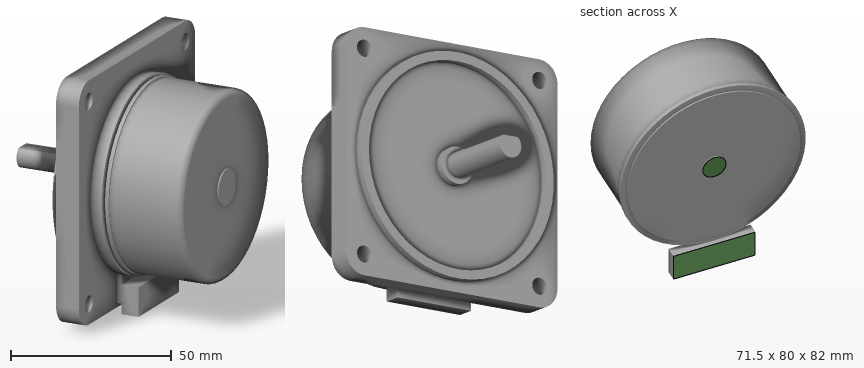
import cadquery as cq


overall_height = 82.0

flange_side = 80.0
flange_thickness = 7.95
corner_radius = 7.0
screw_spacing = 66.4
screw_hole_diameter = 5.5
pilot_radius = 36.5
pilot_height = 3.0
recess_radius = 33.5
recess_depth = 3.0
bearing_seat_radius = 6.0
rear_boss_radius = 32.1
rear_boss_length = 4.0

air_gap = 0.3
neck_radius = 29.4
neck_length = 0.5
rim_radius = 31.5
rim_length = 1.2
can_radius = 30.9
can_end_x = 38.95
can_rounding = 2.1
rear_seat_height = 0.4

shaft_radius = 4.0
shaft_tip_x = -32.1
flat_length = 23.95
flat_height = 2.95

connector_width = 27.9
connector_length = 6.0
connector_height = 9.75
connector_bottom_z = flange_side / 2 - overall_height
board_thickness = 1.6
board_bottom_z = -38.5
board_top_z = -28.8

flange_end_x = flange_thickness + rear_boss_length
neck_start_x = flange_end_x + air_gap
rim_start_x = neck_start_x + neck_length


def disc(radius, start_x, length):
    """Cylinder on the motor axis that extends from start_x toward +X."""
    return cq.Workplane("YZ", origin=(start_x, 0, 0)).circle(radius).extrude(length)


def block(start_x, length, width, bottom_z, height):
    """Box centred on Y = 0, placed by its front face and its underside."""
    return cq.Workplane().box(length, width, height, centered=(False, True, False)).translate(
        (start_x, 0, bottom_z)
    )


def make_flange():
    plate = cq.Workplane("YZ").rect(flange_side, flange_side).extrude(flange_thickness)
    plate = plate.edges("|X").fillet(corner_radius)
    screw_holes = (
        cq.Workplane("YZ")
        .rect(screw_spacing, screw_spacing, forConstruction=True)
        .vertices()
        .circle(screw_hole_diameter / 2)
        .extrude(flange_thickness)
    )
    body = plate.cut(screw_holes)
    body = body.union(disc(pilot_radius, -pilot_height, pilot_height))
    body = body.union(disc(rear_boss_radius, flange_thickness, rear_boss_length))
    body = body.cut(disc(recess_radius, -pilot_height, recess_depth))
    body = body.union(disc(bearing_seat_radius, -pilot_height, recess_depth))
    shaft_bore = disc(shaft_radius, shaft_tip_x, flange_end_x - shaft_tip_x)
    return body.cut(shaft_bore)


def make_rotor():
    shell = disc(can_radius, rim_start_x, can_end_x - rim_start_x)
    shell = shell.faces(">X").edges().fillet(can_rounding)
    neck = disc(neck_radius, neck_start_x, neck_length)
    rim = disc(rim_radius, rim_start_x, rim_length)
    rear_seat = disc(bearing_seat_radius, can_end_x, rear_seat_height)
    can = shell.union(neck).union(rim).union(rear_seat)
    rod = disc(shaft_radius, shaft_tip_x, neck_start_x - shaft_tip_x)
    above_flat = block(shaft_tip_x, flat_length, 2 * shaft_radius, flat_height, shaft_radius)
    return can.union(rod.cut(above_flat))


def make_board():
    board_height = board_top_z - board_bottom_z
    board = block(flange_thickness, board_thickness, connector_width, board_bottom_z, board_height)
    return board.cut(disc(rear_boss_radius, flange_thickness, rear_boss_length))


def make_connector():
    plug_start_x = flange_thickness + board_thickness
    return block(plug_start_x, connector_length, connector_width, connector_bottom_z, connector_height)


flange = make_flange()
rotor = make_rotor()
board = make_board()
connector = make_connector()

result = cq.Compound.makeCompound([flange.val(), rotor.val(), board.val(), connector.val()])